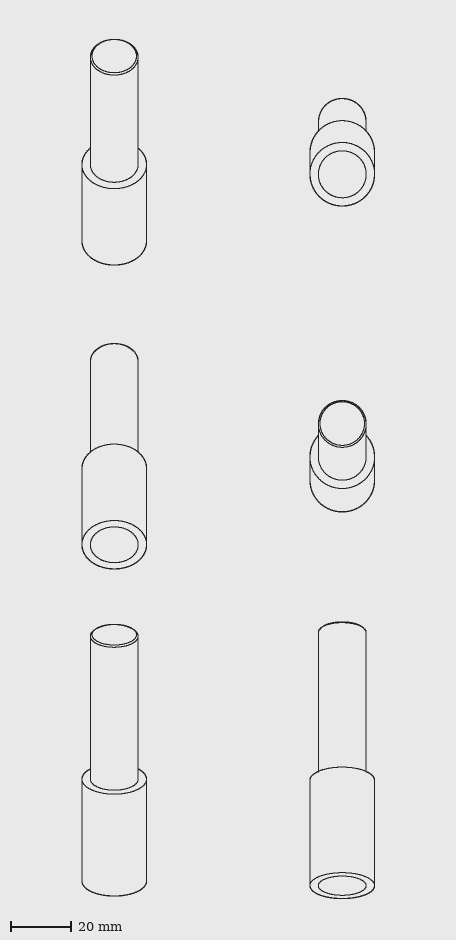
import cadquery as cq

TOTAL_LENGTH = 92.1
PIN_DIAMETER = 15.8
PIN_CHAMFER = 0.55
SLEEVE_DIAMETER = 21.5
SLEEVE_LENGTH = 38.1


def make_pin():
    """Full-length round pin with a chamfered top edge, standing on the XY plane."""
    return (
        cq.Workplane("XY")
        .circle(PIN_DIAMETER / 2)
        .extrude(TOTAL_LENGTH)
        .faces(">Z")
        .edges()
        .chamfer(PIN_CHAMFER)
    )


def make_sleeve():
    """Plain sleeve around the lower end of the pin, flush with its bottom face."""
    return (
        cq.Workplane("XY")
        .circle(SLEEVE_DIAMETER / 2)
        .circle(PIN_DIAMETER / 2)
        .extrude(SLEEVE_LENGTH)
    )


pin = make_pin()
sleeve = make_sleeve()

result = cq.Compound.makeCompound([pin.val(), sleeve.val()])